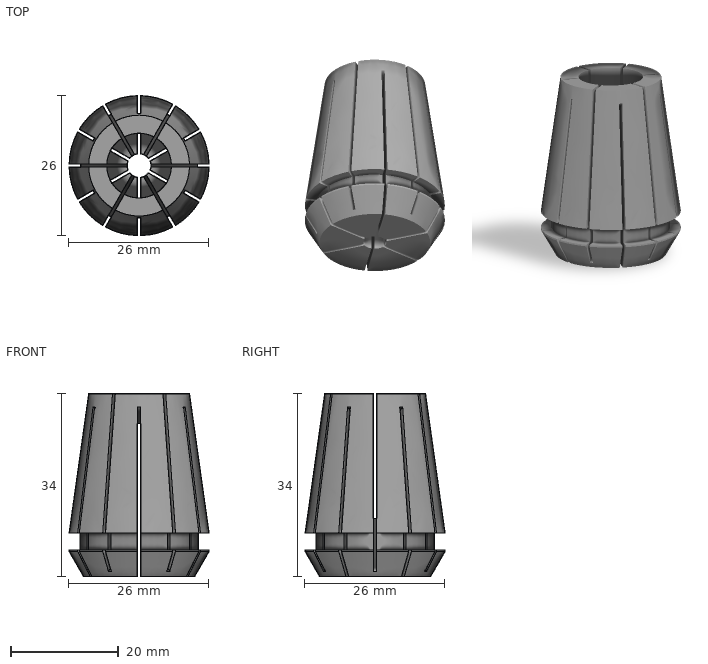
import cadquery as cq
import math

HEIGHT = 34.0
MAX_RADIUS = 13.0

NOSE_TOP_Z = 5.0
NOSE_LAND = 0.3
NOSE_HALF_ANGLE = 30.0

GROOVE_RADIUS = 11.0
GROOVE_TOP_Z = 8.1

TAPER_HALF_ANGLE = 8.0

GRIP_RADIUS = 2.2
GRIP_LENGTH = 16.0
CLEARANCE_RADIUS = 6.0

SLOT_WIDTH = 0.6
SLOTS_PER_END = 6
TOP_SLOT_FIRST_ANGLE = 0.0
SAW_RADIUS = 19.0
SAW_CENTER_RADIUS = 19.9
UNCUT_AT_BOTTOM = 1.0
UNCUT_AT_TOP = 2.5

NOSE_CONE_TOP_Z = NOSE_TOP_Z - NOSE_LAND
NOSE_SLOPE = math.tan(math.radians(NOSE_HALF_ANGLE))
TAPER_SLOPE = math.tan(math.radians(TAPER_HALF_ANGLE))
SLOT_PITCH_ANGLE = 360.0 / SLOTS_PER_END
BOTTOM_SLOT_FIRST_ANGLE = TOP_SLOT_FIRST_ANGLE + SLOT_PITCH_ANGLE / 2


def nose_cone_radius(z):
    """Outer radius of the nose cone at height z."""
    return MAX_RADIUS - (NOSE_CONE_TOP_Z - z) * NOSE_SLOPE


def taper_radius(z):
    """Outer radius of the main taper at height z."""
    return MAX_RADIUS - (z - GROOVE_TOP_Z) * TAPER_SLOPE


def make_body():
    """Revolved collet body with its stepped bore, without slots."""
    profile = (
        cq.Workplane("XZ")
        .moveTo(GRIP_RADIUS, 0)
        .lineTo(nose_cone_radius(0), 0)
        .lineTo(MAX_RADIUS, NOSE_CONE_TOP_Z)
        .lineTo(MAX_RADIUS, NOSE_TOP_Z)
        .lineTo(GROOVE_RADIUS, NOSE_TOP_Z)
        .lineTo(GROOVE_RADIUS, GROOVE_TOP_Z)
        .lineTo(MAX_RADIUS, GROOVE_TOP_Z)
        .lineTo(taper_radius(HEIGHT), HEIGHT)
        .lineTo(CLEARANCE_RADIUS, HEIGHT)
        .lineTo(CLEARANCE_RADIUS, GRIP_LENGTH)
        .lineTo(GRIP_RADIUS, GRIP_LENGTH)
        .close()
    )
    return profile.revolve(360, (0, 0, 0), (0, 1, 0))


def saw_reach(radius):
    """Height between the saw center and its rim at a distance from the collet axis."""
    return math.sqrt(SAW_RADIUS**2 - (SAW_CENTER_RADIUS - radius) ** 2)


def make_slot(saw_center_z, open_z):
    """Slot along +X: a quarter saw arc at its closed end, straight up or down to open_z."""
    inner_radius = SAW_CENTER_RADIUS - SAW_RADIUS
    closed_side = math.copysign(1, saw_center_z - open_z)
    diagonal = SAW_RADIUS * math.sqrt(0.5)
    return (
        cq.Workplane("XZ")
        .moveTo(inner_radius, open_z)
        .lineTo(inner_radius, saw_center_z)
        .threePointArc(
            (SAW_CENTER_RADIUS - diagonal, saw_center_z + closed_side * diagonal),
            (SAW_CENTER_RADIUS, saw_center_z + closed_side * SAW_RADIUS),
        )
        .lineTo(SAW_CENTER_RADIUS, open_z)
        .close()
        .extrude(SLOT_WIDTH / 2, both=True)
    )


def cut_slots(body, slot, first_angle):
    """Cut one slot shape at equal angles around the Z axis."""
    for index in range(SLOTS_PER_END):
        angle = first_angle + index * SLOT_PITCH_ANGLE
        body = body.cut(slot.rotate((0, 0, 0), (0, 0, 1), angle))
    return body


top_slot_end_z = UNCUT_AT_BOTTOM
top_saw_z = top_slot_end_z + saw_reach(nose_cone_radius(top_slot_end_z))
top_slot = make_slot(top_saw_z, HEIGHT)

bottom_slot_end_z = HEIGHT - UNCUT_AT_TOP
bottom_saw_z = bottom_slot_end_z - saw_reach(taper_radius(bottom_slot_end_z))
bottom_slot = make_slot(bottom_saw_z, 0)

result = make_body()
result = cut_slots(result, top_slot, TOP_SLOT_FIRST_ANGLE)
result = cut_slots(result, bottom_slot, BOTTOM_SLOT_FIRST_ANGLE)